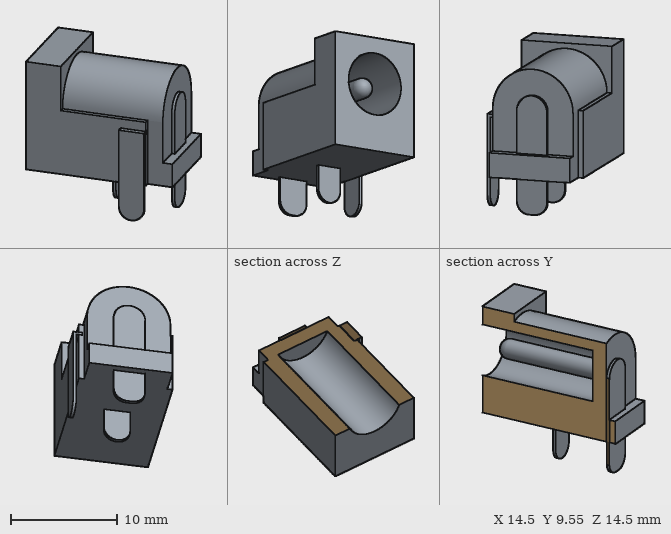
import cadquery as cq
import math

LENGTH = 14.5
HOUSING_WIDTH = 9.0
HOUSING_HEIGHT = 11.0
FLANGE_LENGTH = 3.5
BASE_LENGTH = 12.0
BARREL_END = 13.55
BARREL_RADIUS = 4.0
FOOT_HEIGHT = 2.36
AXIS_HEIGHT = 6.5

BORE_DIAMETER = 6.0
BORE_DEPTH = BASE_LENGTH
PIN_DIAMETER = 1.95
PIN_TIP_X = 1.2
PIN_TIP_FLAT_RADIUS = 0.07

SHEET = 0.3
LEG_LENGTH = 3.5
LEG_WIDTH = 2.51
LEG_CORNER_RADIUS = LEG_WIDTH / 2
MIDDLE_LEG_X = 7.55
REAR_TERMINAL_WIDTH = 3.0
REAR_TERMINAL_X = BARREL_END
SIDE_TERMINAL_TOP = 5.55
SIDE_TERMINAL_REACH = 0.55
SIDE_LIP_INSERTION = 0.3


def block(x_start, x_end, width, height):
    """Box centred on Y = 0 and standing on the seating plane."""
    return (
        cq.Workplane("XY")
        .box(x_end - x_start, width, height, centered=(False, True, False))
        .translate((x_start, 0, 0))
    )


def axial_cylinder(x_start, x_end, radius):
    """Cylinder along the socket axis."""
    return (
        cq.Workplane("YZ", origin=(x_start, 0, AXIS_HEIGHT))
        .circle(radius)
        .extrude(x_end - x_start)
    )


def make_rear_terminal():
    """Upright strip with a round head about the socket axis and a rounded leg end."""
    half_width = REAR_TERMINAL_WIDTH / 2
    end_half_width = half_width - LEG_CORNER_RADIUS
    shoulder_z = LEG_CORNER_RADIUS - LEG_LENGTH
    corner_step = LEG_CORNER_RADIUS * math.sqrt(0.5)
    corner_y = end_half_width + corner_step
    corner_z = shoulder_z - corner_step
    return (
        cq.Workplane("YZ", origin=(REAR_TERMINAL_X, 0, 0))
        .moveTo(-half_width, shoulder_z)
        .lineTo(-half_width, AXIS_HEIGHT)
        .threePointArc((0, AXIS_HEIGHT + half_width), (half_width, AXIS_HEIGHT))
        .lineTo(half_width, shoulder_z)
        .threePointArc((corner_y, corner_z), (end_half_width, -LEG_LENGTH))
        .lineTo(-end_half_width, -LEG_LENGTH)
        .threePointArc((-corner_y, corner_z), (-half_width, shoulder_z))
        .close()
        .extrude(SHEET)
    )


def round_ended_leg(plane, origin, top):
    """Strip from the given height down to a full-round end, one sheet thick."""
    radius = LEG_CORNER_RADIUS
    shoulder_z = radius - LEG_LENGTH
    return (
        cq.Workplane(plane, origin=origin)
        .moveTo(-radius, top)
        .lineTo(radius, top)
        .lineTo(radius, shoulder_z)
        .threePointArc((0, -LEG_LENGTH), (-radius, shoulder_z))
        .close()
        .extrude(SHEET)
    )


def make_middle_terminal():
    """Leg below the housing, butting against its underside."""
    return round_ended_leg("YZ", (MIDDLE_LEG_X, 0, 0), 0)


def make_side_terminal():
    """Leg beside the housing, with a lip along its top set into the side wall."""
    wall_y = -HOUSING_WIDTH / 2
    leg_x = BASE_LENGTH - LEG_WIDTH / 2
    leg_inner_y = wall_y - SIDE_TERMINAL_REACH + SHEET
    leg = round_ended_leg("XZ", (leg_x, leg_inner_y, 0), SIDE_TERMINAL_TOP)
    lip = (
        cq.Workplane("XY")
        .box(LEG_WIDTH, SIDE_TERMINAL_REACH + SIDE_LIP_INSERTION, SHEET, centered=(True, False, False))
        .translate((leg_x, wall_y - SIDE_TERMINAL_REACH, SIDE_TERMINAL_TOP - SHEET))
    )
    return leg.union(lip)


def make_pin():
    """Contact pin with a domed tip, reaching back to the rear terminal."""
    pin_radius = PIN_DIAMETER / 2
    dome_radius = pin_radius - PIN_TIP_FLAT_RADIUS
    pin = axial_cylinder(PIN_TIP_X, REAR_TERMINAL_X, pin_radius)
    return pin.faces("<X").edges().fillet(dome_radius)


def make_housing(pin, rear_terminal, side_terminal):
    """Flanged housing with a barrel, a blind socket bore and fits for the contacts."""
    flange = block(0, FLANGE_LENGTH, HOUSING_WIDTH, HOUSING_HEIGHT)
    base = block(0, BASE_LENGTH, HOUSING_WIDTH, AXIS_HEIGHT)
    barrel = axial_cylinder(0, BARREL_END, BARREL_RADIUS)
    barrel_support = block(0, BARREL_END, 2 * BARREL_RADIUS, AXIS_HEIGHT)
    foot = block(0, LENGTH, 2 * BARREL_RADIUS, FOOT_HEIGHT)
    body = flange.union(base).union(barrel).union(barrel_support).union(foot)
    bore = axial_cylinder(0, BORE_DEPTH, BORE_DIAMETER / 2)
    return body.cut(bore).cut(pin).cut(rear_terminal).cut(side_terminal)


pin = make_pin()
rear_terminal = make_rear_terminal()
middle_terminal = make_middle_terminal()
side_terminal = make_side_terminal()
housing = make_housing(pin, rear_terminal, side_terminal)

result = cq.Compound.makeCompound([
    housing.val(),
    pin.val(),
    rear_terminal.val(),
    middle_terminal.val(),
    side_terminal.val(),
])